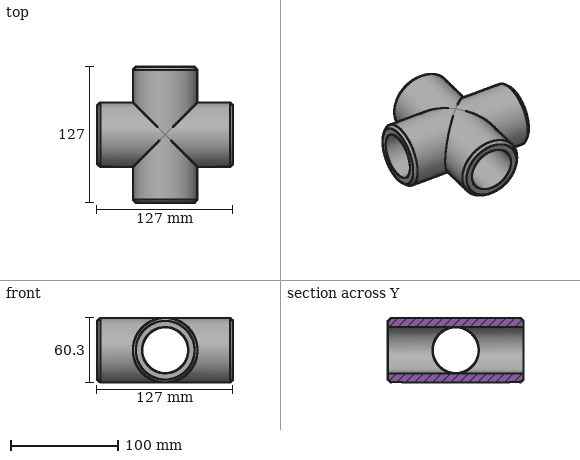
import cadquery as cq

length = 127.0
outer_diameter = 60.3
bore_diameter = 42.8
bevel_length = 3.0
bevel_depth = 2.8

half_length = length / 2
outer_radius = outer_diameter / 2


def bevelled_bar():
    """Solid round bar along X, bevelled at both ends."""
    half_profile = [
        (-half_length, 0),
        (-half_length, outer_radius - bevel_depth),
        (-half_length + bevel_length, outer_radius),
        (half_length - bevel_length, outer_radius),
        (half_length, outer_radius - bevel_depth),
        (half_length, 0),
    ]
    return cq.Workplane("XY").polyline(half_profile).close().revolve(360, (0, 0, 0), (1, 0, 0))


def bore():
    """Through bore along X."""
    return cq.Workplane("YZ").circle(bore_diameter / 2).extrude(half_length, both=True)


def crossed(bar):
    """Join a bar along X with the same bar turned along Y."""
    return bar.union(bar.rotate((0, 0, 0), (0, 0, 1), 90))


result = crossed(bevelled_bar()).cut(crossed(bore()))